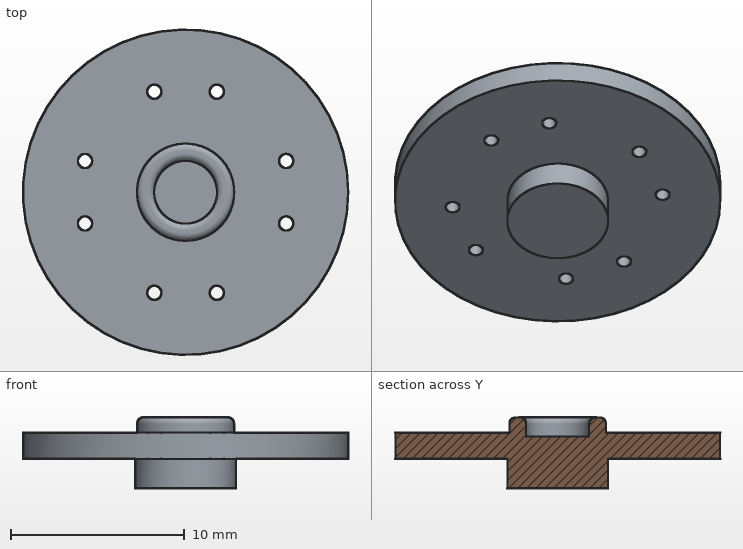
import cadquery as cq

flange_diameter = 18.7
flange_thickness = 1.5

rim_diameter = 5.6
rim_height = 0.9
rim_fillet = 0.4
recess_diameter = 3.6
recess_depth = 1.1

hub_diameter = 5.8
hub_height = 1.7

hole_diameter = 0.8
hole_near_offset = 1.8
hole_far_offset = 5.78

rim_top = flange_thickness + rim_height


def make_flange():
    return cq.Workplane("XY").circle(flange_diameter / 2).extrude(flange_thickness)


def make_hub():
    return cq.Workplane("XY").circle(hub_diameter / 2).extrude(-hub_height)


def make_rim():
    """Solid disc that becomes a ring once the recess is cut."""
    return (
        cq.Workplane("XY", origin=(0, 0, flange_thickness))
        .circle(rim_diameter / 2)
        .extrude(rim_height)
    )


def make_recess():
    """Cutter for the blind recess inside the rim."""
    return (
        cq.Workplane("XY", origin=(0, 0, rim_top))
        .circle(recess_diameter / 2)
        .extrude(-recess_depth)
    )


def make_holes():
    """Cutter for the eight holes through the flange."""
    centres = []
    for near_side in (-hole_near_offset, hole_near_offset):
        for far_side in (-hole_far_offset, hole_far_offset):
            centres.append((near_side, far_side))
            centres.append((far_side, near_side))
    return (
        cq.Workplane("XY")
        .pushPoints(centres)
        .circle(hole_diameter / 2)
        .extrude(flange_thickness)
    )


body = make_flange().union(make_hub()).union(make_rim())
body = body.cut(make_recess()).cut(make_holes())

result = body.faces(">Z").edges().fillet(rim_fillet)